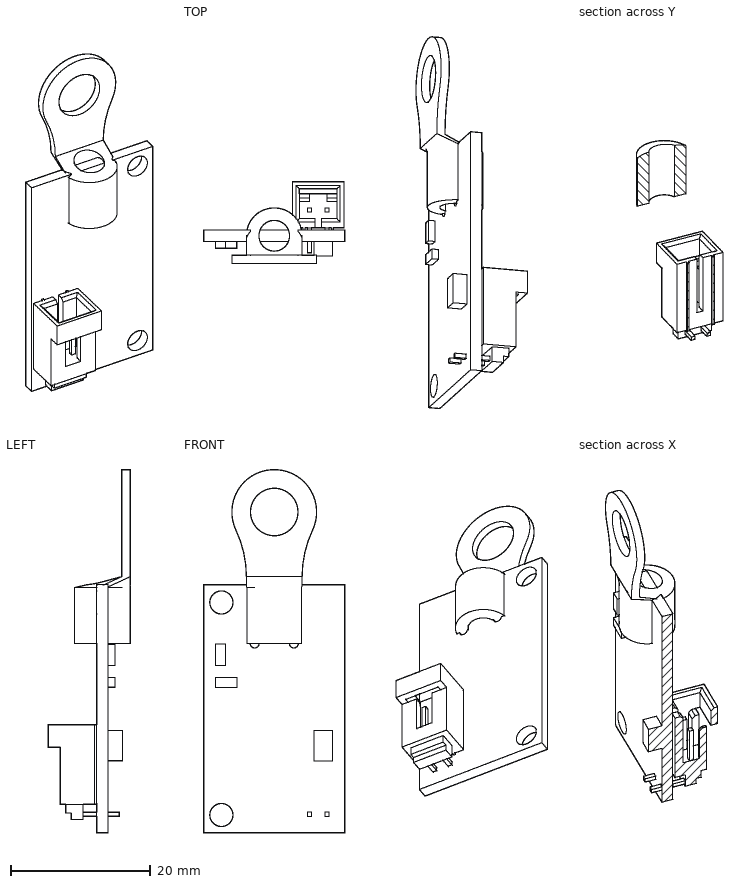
import cadquery as cq
import math


BOARD_WIDTH = 20.3
BOARD_HEIGHT = 35.65
BOARD_THICKNESS = 1.65
BOARD_FRONT = -BOARD_THICKNESS / 2
BOARD_BACK = BOARD_THICKNESS / 2
MOUNT_HOLE_DIAMETER = 3.3
MOUNT_HOLE_INSET = 2.55
SLOT_WIDTH = 1.25

SMALL_CHIP_LONG = 3.1
SMALL_CHIP_SHORT = 1.45
SMALL_CHIP_HEIGHT = 1.0
SMALL_CHIP_LEFT = -8.45
UPRIGHT_CHIP_BOTTOM = 24.0
LEVEL_CHIP_BOTTOM = 20.85
LARGE_CHIP_LEFT = 5.7
LARGE_CHIP_BOTTOM = 10.35
LARGE_CHIP_WIDTH = 2.7
LARGE_CHIP_LENGTH = 4.4
LARGE_CHIP_HEIGHT = 2.1

OVERALL_HEIGHT = 52.15
BARREL_RADIUS = 4.0
BORE_RADIUS = 2.2
BARREL_BOTTOM = 27.2
BARREL_TOP = 35.2
PLATE_BOTTOM = 36.8
PLATE_THICKNESS = 1.25
RING_RADIUS = 6.1
RING_HOLE_RADIUS = 3.4
PLATE_FRONT = -BARREL_RADIUS
PLATE_BACK = PLATE_FRONT + PLATE_THICKNESS
RING_CENTER_Z = OVERALL_HEIGHT - RING_RADIUS

CONNECTOR_X = 6.3
HOUSING_WIDTH = 7.4
HOUSING_BOTTOM = 4.05
HOUSING_TOP = 15.55
HOUSING_FRONT = 1.15
HOUSING_BACK = 6.05
HOOD_BACK = 7.75
HOOD_BOTTOM = 12.25
FLOOR_THICKNESS = 2.5
FLOOR_Z = HOUSING_BOTTOM + FLOOR_THICKNESS
CAVITY_WIDTH = 5.35
CAVITY_FRONT = 2.45
CAVITY_BACK = 4.95
HOOD_CAVITY_BACK = 6.75
BEVEL = 0.45
FRONT_SLOT_WIDTH = 0.95
BACK_SLOT_WIDTH = 2.5
RIB_WIDTH = 0.3
RIB_OFFSET = 2.05

BLOCK_FRONT = 2.75
BLOCK_BACK = 5.25
BLOCK_STEP_BACK = 4.5
BLOCK_STEP_Z = 2.8
BLOCK_BOTTOM = 1.9

PIN_PITCH = 2.5
PIN_SIZE = 0.6
PIN_Y = 3.7
PIN_Z = 2.65
PIN_TOP = HOOD_BOTTOM
PIN_END_Y = -2.45
PIN_XS = [CONNECTOR_X - PIN_PITCH / 2, CONNECTOR_X + PIN_PITCH / 2]


def box_between(x_range, y_range, z_range):
    """Box given by its low and high limits along each axis."""
    limits = (x_range, y_range, z_range)
    sizes = [high - low for low, high in limits]
    corner = tuple(low for low, high in limits)
    return cq.Workplane("XY").box(*sizes, centered=False).translate(corner)


def around(center, width):
    """Limits of a width centred on a position."""
    return (center - width / 2, center + width / 2)


def cylinder_along_y(x, z, radius, y_range):
    """Cylinder parallel to Y."""
    low, high = y_range
    return cq.Workplane("XZ", origin=(x, low, z)).circle(radius).extrude(low - high)


def bevelled_mouth(x_range, y_range, top):
    """Funnel that widens upward at 45 degrees and ends at the given height."""
    x_low, x_high = x_range
    y_low, y_high = y_range
    width = x_high - x_low
    depth = y_high - y_low
    origin = ((x_low + x_high) / 2, (y_low + y_high) / 2, top - BEVEL)
    return (
        cq.Workplane("XY", origin=origin)
        .rect(width, depth)
        .workplane(offset=BEVEL)
        .rect(width + 2 * BEVEL, depth + 2 * BEVEL)
        .loft(ruled=True)
    )


def front_chip(left, bottom, width, length, height):
    """Rectangular component standing on the front face of the board."""
    return box_between(
        (left, left + width), (BOARD_FRONT - height, BOARD_FRONT), (bottom, bottom + length)
    )


def make_board(terminal):
    """Board with mounting holes, slots for the terminal, pin holes and its chips."""
    through = (BOARD_FRONT, BOARD_BACK)
    body = box_between(around(0, BOARD_WIDTH), through, (0, BOARD_HEIGHT))

    hole_x = -BOARD_WIDTH / 2 + MOUNT_HOLE_INSET
    for hole_z in (MOUNT_HOLE_INSET, BOARD_HEIGHT - MOUNT_HOLE_INSET):
        body = body.cut(cylinder_along_y(hole_x, hole_z, MOUNT_HOLE_DIAMETER / 2, through))

    slot_x = BORE_RADIUS + SLOT_WIDTH / 2
    for x in (-slot_x, slot_x):
        body = body.cut(box_between(around(x, SLOT_WIDTH), through, (BARREL_BOTTOM, BOARD_HEIGHT)))
        body = body.cut(cylinder_along_y(x, BARREL_BOTTOM, SLOT_WIDTH / 2, through))
    body = body.cut(terminal)

    for x in PIN_XS:
        body = body.cut(box_between(around(x, PIN_SIZE), through, around(PIN_Z, PIN_SIZE)))

    chips = [
        front_chip(SMALL_CHIP_LEFT, UPRIGHT_CHIP_BOTTOM,
                   SMALL_CHIP_SHORT, SMALL_CHIP_LONG, SMALL_CHIP_HEIGHT),
        front_chip(SMALL_CHIP_LEFT, LEVEL_CHIP_BOTTOM,
                   SMALL_CHIP_LONG, SMALL_CHIP_SHORT, SMALL_CHIP_HEIGHT),
        front_chip(LARGE_CHIP_LEFT, LARGE_CHIP_BOTTOM,
                   LARGE_CHIP_WIDTH, LARGE_CHIP_LENGTH, LARGE_CHIP_HEIGHT),
    ]
    for chip in chips:
        body = body.union(chip)
    return body


def make_ring_plate():
    """Flat ring whose neck narrows to the barrel width along two concave arcs."""
    neck = BARREL_RADIUS
    rise = RING_CENTER_Z - PLATE_BOTTOM
    neck_radius = (neck**2 + rise**2 - RING_RADIUS**2) / (2 * (RING_RADIUS - neck))
    arc_center_x = neck + neck_radius
    sweep = math.atan2(rise, arc_center_x)
    join_x = RING_RADIUS * math.cos(sweep)
    join_z = RING_CENTER_Z - RING_RADIUS * math.sin(sweep)
    mid_x = arc_center_x - neck_radius * math.cos(sweep / 2)
    mid_z = PLATE_BOTTOM + neck_radius * math.sin(sweep / 2)

    outline = (
        cq.Workplane("XZ", origin=(0, PLATE_BACK, 0))
        .moveTo(-neck, PLATE_BOTTOM)
        .lineTo(neck, PLATE_BOTTOM)
        .threePointArc((mid_x, mid_z), (join_x, join_z))
        .threePointArc((0, OVERALL_HEIGHT), (-join_x, join_z))
        .threePointArc((-mid_x, mid_z), (-neck, PLATE_BOTTOM))
        .close()
    )
    plate = outline.extrude(PLATE_THICKNESS)
    hole = cylinder_along_y(0, RING_CENTER_Z, RING_HOLE_RADIUS, (PLATE_FRONT, PLATE_BACK))
    return plate.cut(hole)


def make_terminal():
    """Bored barrel blended into the ring plate."""
    barrel = (
        cq.Workplane("XY", origin=(0, 0, BARREL_BOTTOM))
        .circle(BARREL_RADIUS)
        .extrude(BARREL_TOP - BARREL_BOTTOM)
    )
    transition = (
        cq.Workplane("XY", origin=(0, 0, BARREL_TOP))
        .circle(BARREL_RADIUS)
        .workplane(offset=PLATE_BOTTOM - BARREL_TOP)
        .center(0, (PLATE_FRONT + PLATE_BACK) / 2)
        .rect(2 * BARREL_RADIUS, PLATE_THICKNESS)
        .loft(ruled=True)
    )
    bore = (
        cq.Workplane("XY", origin=(0, 0, BARREL_BOTTOM))
        .circle(BORE_RADIUS)
        .extrude(PLATE_BOTTOM - BARREL_BOTTOM)
    )
    return barrel.union(transition).cut(bore).union(make_ring_plate())


def make_pin(x):
    """Square pin that stands in the cavity and bends forward through the board."""
    half = PIN_SIZE / 2
    upright = box_between(around(x, PIN_SIZE), around(PIN_Y, PIN_SIZE), (PIN_Z - half, PIN_TOP))
    tail = box_between(around(x, PIN_SIZE), (PIN_END_Y, PIN_Y + half), around(PIN_Z, PIN_SIZE))
    return upright.union(tail)


def make_connector():
    """Socket open at the top, with a deeper hood, stand-off ribs and two bent pins."""
    housing_x = around(CONNECTOR_X, HOUSING_WIDTH)
    cavity_x = around(CONNECTOR_X, CAVITY_WIDTH)
    body = box_between(housing_x, (HOUSING_FRONT, HOUSING_BACK), (HOUSING_BOTTOM, HOUSING_TOP))
    body = body.union(box_between(housing_x, (HOUSING_FRONT, HOOD_BACK), (HOOD_BOTTOM, HOUSING_TOP)))

    body = body.cut(box_between(cavity_x, (CAVITY_FRONT, CAVITY_BACK), (FLOOR_Z, HOUSING_TOP)))
    body = body.cut(box_between(cavity_x, (CAVITY_FRONT, HOOD_CAVITY_BACK), (HOOD_BOTTOM, HOUSING_TOP)))
    body = body.cut(bevelled_mouth(cavity_x, (CAVITY_FRONT, HOOD_CAVITY_BACK), HOUSING_TOP))
    lip = box_between(
        cavity_x, (CAVITY_BACK, CAVITY_BACK + BEVEL), (HOOD_BOTTOM - BEVEL, HOOD_BOTTOM)
    )
    body = body.cut(lip.intersect(bevelled_mouth(cavity_x, (CAVITY_FRONT, CAVITY_BACK), HOOD_BOTTOM)))

    front_slot_x = around(CONNECTOR_X, FRONT_SLOT_WIDTH)
    body = body.cut(box_between(front_slot_x, (HOUSING_FRONT, CAVITY_FRONT), (FLOOR_Z, HOUSING_TOP)))
    back_slot_x = around(CONNECTOR_X, BACK_SLOT_WIDTH)
    body = body.cut(box_between(back_slot_x, (CAVITY_BACK, HOUSING_BACK), (FLOOR_Z, HOOD_BOTTOM)))

    block = box_between(cavity_x, (BLOCK_FRONT, BLOCK_BACK), (BLOCK_STEP_Z, HOUSING_BOTTOM))
    step = box_between(cavity_x, (BLOCK_FRONT, BLOCK_STEP_BACK), (BLOCK_BOTTOM, BLOCK_STEP_Z))
    body = body.union(block).union(step)

    for x in (CONNECTOR_X - RIB_OFFSET, CONNECTOR_X + RIB_OFFSET):
        rib = box_between(
            around(x, RIB_WIDTH), (BOARD_BACK, HOUSING_FRONT), (HOUSING_BOTTOM, HOUSING_TOP)
        )
        body = body.union(rib)

    for x in PIN_XS:
        body = body.union(make_pin(x))
    return body


terminal = make_terminal()
board = make_board(terminal)
connector = make_connector()

result = cq.Compound.makeCompound(
    [
        board.solids().val(),
        terminal.solids().val(),
        connector.solids().val(),
    ]
)